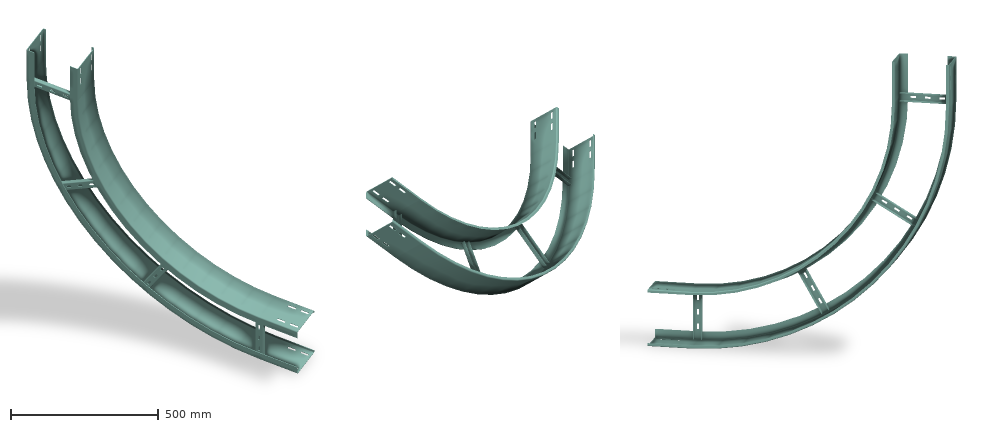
import cadquery as cq
import math

BEND_ANGLE = 90.0
OVERALL_SIZE = 1050.0
STRAIGHT_LENGTH = 150.0
OUTER_RADIUS = OVERALL_SIZE - STRAIGHT_LENGTH
LADDER_WIDTH = 200.0
INNER_RADIUS = OUTER_RADIUS - LADDER_WIDTH

RAIL_DEPTH = 120.0
SHEET = 2.0
FRONT_FLANGE = 30.0
BACK_LIP = 10.0
RAIL_BEND_INSIDE = 2.0
RAIL_BEND_OUTSIDE = RAIL_BEND_INSIDE + SHEET

SLOT_CUT_DEPTH = 4 * SHEET

JOINT_SLOT_LENGTH = 30.0
JOINT_SLOT_WIDTH = 8.0
JOINT_SLOT_FIRST = 25.0
JOINT_SLOT_PITCH = 49.0
JOINT_SLOT_ROW_SPACING = 75.0

RUNG_COUNT = 4
RUNG_WIDTH = 30.0
RUNG_DEPTH = 15.0
RUNG_BEND_INSIDE = 1.0
RUNG_BEND_OUTSIDE = RUNG_BEND_INSIDE + SHEET
RUNG_SLOT_COUNT = 3
RUNG_SLOT_LENGTH = 20.0
RUNG_SLOT_WIDTH = 7.0
RUNG_SLOT_PITCH = 50.0

RUNG_END_GAP = 2.5
RUNG_INNER_END = INNER_RADIUS + SHEET + RUNG_END_GAP
RUNG_OUTER_LIMIT = OUTER_RADIUS - SHEET - RUNG_END_GAP
RUNG_OUTER_END = math.sqrt(RUNG_OUTER_LIMIT**2 - (RUNG_WIDTH / 2) ** 2)


def bend_path(radius):
    """Path of a rail along the outside of its web: straight down, around the bend, then out along +X."""
    middle = radius * math.sqrt(0.5)
    return (
        cq.Workplane("XZ")
        .moveTo(-radius, STRAIGHT_LENGTH)
        .lineTo(-radius, 0)
        .threePointArc((-middle, -middle), (0, -radius))
        .lineTo(STRAIGHT_LENGTH, -radius)
    )


def channel_profile(radius, inward):
    """Channel section at the top end: web at x = -radius, flanges toward +X (inward 1) or -X (-1)."""
    web = -radius
    front_tip = web + inward * FRONT_FLANGE
    back_tip = web + inward * BACK_LIP
    web_inside = web + inward * SHEET
    bend_end = web + inward * RAIL_BEND_OUTSIDE
    bend_centre_y = RAIL_BEND_OUTSIDE
    back_centre_y = RAIL_DEPTH - RAIL_BEND_OUTSIDE

    def bend_point(centre_y, bend_radius, side):
        """Middle of a bend arc: side is -1 at the front and 1 at the back."""
        reach = bend_radius * math.sqrt(0.5)
        return (bend_end - inward * reach, centre_y + side * reach)

    return (
        cq.Workplane("XY", origin=(0, 0, STRAIGHT_LENGTH))
        .moveTo(front_tip, 0)
        .lineTo(bend_end, 0)
        .threePointArc(bend_point(bend_centre_y, RAIL_BEND_OUTSIDE, -1), (web, bend_centre_y))
        .lineTo(web, back_centre_y)
        .threePointArc(bend_point(back_centre_y, RAIL_BEND_OUTSIDE, 1), (bend_end, RAIL_DEPTH))
        .lineTo(back_tip, RAIL_DEPTH)
        .lineTo(back_tip, RAIL_DEPTH - SHEET)
        .lineTo(bend_end, RAIL_DEPTH - SHEET)
        .threePointArc(bend_point(back_centre_y, RAIL_BEND_INSIDE, 1), (web_inside, back_centre_y))
        .lineTo(web_inside, bend_centre_y)
        .threePointArc(bend_point(bend_centre_y, RAIL_BEND_INSIDE, -1), (bend_end, SHEET))
        .lineTo(front_tip, SHEET)
        .close()
    )


def joint_slots(radius):
    """Cutters for the slots through a rail's web at both of its straight ends."""
    end_x_slot = cq.Workplane("XY").box(JOINT_SLOT_LENGTH, JOINT_SLOT_WIDTH, SLOT_CUT_DEPTH)
    end_z_slot = end_x_slot.rotate((0, 0, 0), (0, 1, 0), 90)
    first = STRAIGHT_LENGTH - JOINT_SLOT_FIRST
    cutters = []
    for side in (-1, 1):
        row_y = RAIL_DEPTH / 2 + side * JOINT_SLOT_ROW_SPACING / 2
        for along in (first, first - JOINT_SLOT_PITCH):
            cutters.append(end_x_slot.translate((along, row_y, -radius)).val())
            cutters.append(end_z_slot.translate((-radius, row_y, along)).val())
    return cq.Compound.makeCompound(cutters)


def make_rail(radius, inward):
    """One side rail; inward is 1 when its flanges point toward +X at the top end."""
    rail = channel_profile(radius, inward).sweep(bend_path(radius), clean=False)
    return rail.cut(joint_slots(radius), clean=False)


def make_rung(angle):
    """One rung, made along -X and turned about the Y axis to its place on the bend."""
    length = RUNG_OUTER_END - RUNG_INNER_END
    middle_x = -(RUNG_OUTER_END + RUNG_INNER_END) / 2
    front_y = SHEET

    body = (
        cq.Workplane("XY")
        .box(length, RUNG_DEPTH, RUNG_WIDTH, centered=(True, False, True))
        .edges("|X and <Y")
        .fillet(RUNG_BEND_OUTSIDE)
    )
    hollow = (
        cq.Workplane("XY")
        .box(length, RUNG_DEPTH, RUNG_WIDTH - 2 * SHEET, centered=(True, False, True))
        .edges("|X and <Y")
        .fillet(RUNG_BEND_INSIDE)
        .translate((0, SHEET, 0))
    )
    slots = (
        cq.Workplane("XY")
        .rarray(RUNG_SLOT_PITCH, 10, RUNG_SLOT_COUNT, 1)
        .box(RUNG_SLOT_LENGTH, SLOT_CUT_DEPTH, RUNG_SLOT_WIDTH)
    )
    return (
        body.cut(hollow)
        .cut(slots)
        .translate((middle_x, front_y, 0))
        .rotate((0, 0, 0), (0, 1, 0), -angle)
    )


outer_rail = make_rail(OUTER_RADIUS, 1)
inner_rail = make_rail(INNER_RADIUS, -1)

rung_step = BEND_ANGLE / (RUNG_COUNT - 1)
rungs = [make_rung(index * rung_step) for index in range(RUNG_COUNT)]

result = cq.Compound.makeCompound(
    [outer_rail.val(), inner_rail.val(), *[rung.val() for rung in rungs]]
)